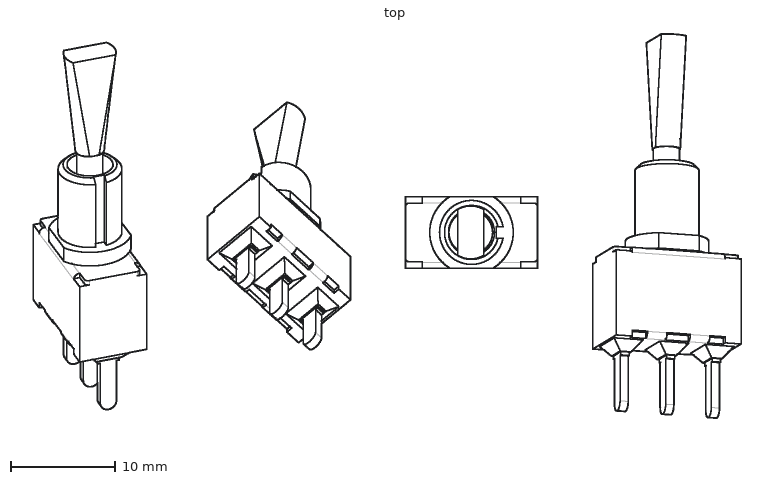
import cadquery as cq

case_length = 12.7
case_width = 6.88
case_bottom = 6.65
case_top = 15.5

frame_length = 9.4
frame_round = 0.6
frame_thickness = 0.63
end_step_depth = 0.48
plate_corner_radius = 0.35
tab_length = 2.0
tab_offset = 2.17

collar_radius = 4.0
collar_top = 17.0

bushing_diameter = 6.15
bushing_top = 24.42
bushing_chamfer = 0.48
bore_radius = 2.2
keyway_width = 1.1
keyway_floor = 2.35

terminal_pitch = 4.65
terminal_thickness = 0.85
terminal_width = 1.65
shoulder_width = 2.2
shoulder_bottom = 5.25
boss_bottom = 5.6
boss_top_size = (2.95, 4.23)
boss_bottom_size = (1.1, 2.57)

lever_top = 36.78
lever_offset = -0.07
ball_radius = 2.1
ball_height = 20.6
bat_bottom = 26.0
bat_thickness = 2.55
bat_base_width = 2.85
bat_base_flat = 0.95
bat_top_width = 5.08
bat_top_flat = 4.38

bushing_radius = bushing_diameter / 2
plate_width = case_width - 2 * frame_thickness
end_length = (case_length - frame_length) / 2
sides = (-1, 1)


def block(length, width, bottom, top, x=0):
    """Upright box centred on (x, 0) between two heights."""
    return cq.Workplane("XY", origin=(x, 0, bottom)).rect(length, width).extrude(top - bottom)


def cylinder(radius, bottom, top, x=0):
    """Upright cylinder between two heights."""
    return cq.Workplane("XY", origin=(x, 0, bottom)).circle(radius).extrude(top - bottom)


def lever_ball():
    """Pivot ball, also used to hollow its seat in the housing."""
    return cq.Workplane("XY", origin=(lever_offset, 0, ball_height)).sphere(ball_radius)


def case_body():
    """Rounded cover between square end blocks, with a raised top plate and folded tabs."""
    cover = block(frame_length, case_width, case_bottom, case_top).edges("|X").fillet(frame_round)

    core_bottom = case_bottom + frame_round
    gaps = block(frame_length, case_width, case_bottom, core_bottom)
    for side in sides:
        gaps = gaps.cut(block(tab_length, case_width, case_bottom, core_bottom, side * tab_offset))
    cover = cover.cut(gaps)

    ends_top = case_top - end_step_depth
    body = cover
    for side in sides:
        end_x = side * (frame_length + end_length) / 2
        body = body.union(block(end_length, case_width, case_bottom, ends_top, end_x))

    core = block(case_length, plate_width, case_bottom, ends_top)
    plate = block(case_length, plate_width, ends_top, case_top).edges("|Z").fillet(plate_corner_radius)
    return body.union(core).union(plate)


def collar():
    """Round collar trimmed flush with the case sides."""
    disc = cylinder(collar_radius, case_top, collar_top)
    return disc.intersect(block(2 * collar_radius, case_width, case_top, collar_top))


def bushing():
    """Chamfered tube stock with a keyway along its +X side."""
    tube = cylinder(bushing_radius, collar_top, bushing_top).faces(">Z").chamfer(bushing_chamfer)
    keyway_depth = bushing_radius - keyway_floor
    keyway_x = keyway_floor + keyway_depth / 2
    return tube.cut(block(keyway_depth, keyway_width, collar_top, bushing_top, keyway_x))


def terminal(x):
    """Flat terminal with a rounded tip, a shoulder and a tapered boss under the case."""
    tip_radius = terminal_width / 2
    blade = block(terminal_thickness, terminal_width, tip_radius, boss_bottom, x)
    tip = (
        cq.Workplane("YZ", origin=(x - terminal_thickness / 2, 0, tip_radius))
        .circle(tip_radius)
        .extrude(terminal_thickness)
    )
    shoulder = block(terminal_thickness, shoulder_width, shoulder_bottom, boss_bottom, x)
    boss = (
        cq.Workplane("XY", origin=(x, 0, boss_bottom))
        .rect(*boss_bottom_size)
        .workplane(offset=case_bottom - boss_bottom)
        .rect(*boss_top_size)
        .loft(ruled=True)
    )
    return blade.union(tip).union(shoulder).union(boss)


def make_housing():
    body = case_body().union(collar()).union(bushing())
    for position in (-1, 0, 1):
        body = body.union(terminal(position * terminal_pitch))
    return body.cut(cylinder(bore_radius, ball_height, bushing_top)).cut(lever_ball())


def bat_section(height, width, flat):
    """Wire with two flat sides and arched ends."""
    left = lever_offset - bat_thickness / 2
    right = lever_offset + bat_thickness / 2
    return (
        cq.Workplane("XY", origin=(0, 0, height))
        .moveTo(left, -flat / 2)
        .threePointArc((lever_offset, -width / 2), (right, -flat / 2))
        .lineTo(right, flat / 2)
        .threePointArc((lever_offset, width / 2), (left, flat / 2))
        .close()
        .val()
    )


def make_lever():
    base = bat_section(bat_bottom, bat_base_width, bat_base_flat)
    tip = bat_section(lever_top, bat_top_width, bat_top_flat)
    bat = cq.Workplane(cq.Solid.makeLoft([base, tip], True))
    stem = cylinder(bat_thickness / 2, ball_height, bat_bottom, lever_offset)
    return lever_ball().union(stem).union(bat)


housing = make_housing()
lever = make_lever()

result = cq.Compound.makeCompound([housing.solids().val(), lever.solids().val()])